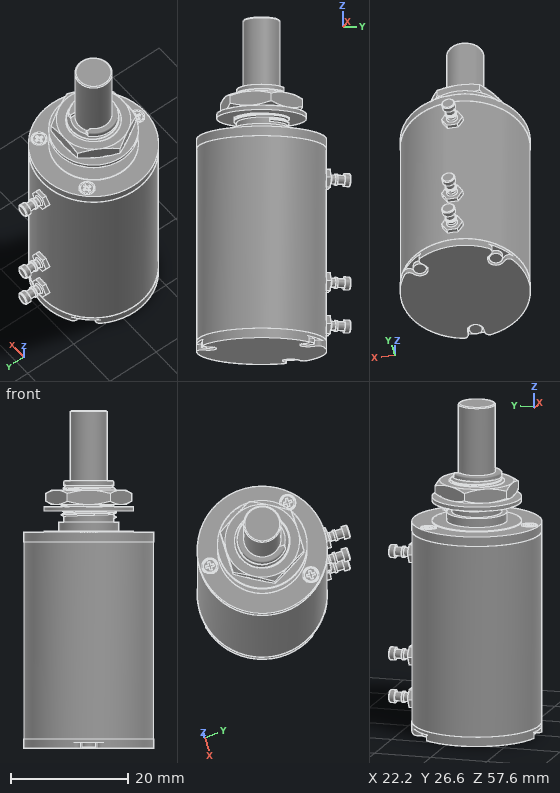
import cadquery as cq
import math

FLANGE_RADIUS = 22.23 / 2
CASE_RADIUS = 11.07
FLANGE_HEIGHT = 1.66
TOTAL_HEIGHT = 57.61
LID_TOP = 36.86
LID_BOTTOM = 35.2

SEAT_RADIUS = 7.65
SEAT_HEIGHT = 0.17
SHOULDER_RADIUS = 5.15
SHOULDER_TOP = 38.58
BUSHING_TOP = 44.85
THREAD_CREST_RADIUS = 4.72
THREAD_ROOT_RADIUS = 4.28
THREAD_PITCH = 25.4 / 32
THREAD_START = 39.45
THREAD_START_ANGLE = 5
THREAD_TURNS = 7
THREAD_CREST_WIDTH = 0.1
THREAD_FLANK_ANGLE = 30
THREAD_OVERLAP = 0.1
BUSHING_CHAMFER = 0.8

SHAFT_RADIUS = 6.35 / 2
SHAFT_CHAMFER = 0.2
CLIP_RADIUS = THREAD_ROOT_RADIUS
CLIP_THICKNESS = 0.8
CLIP_FILLET = 0.3
CLIP_GAP_WIDTH = 4.3
CLIP_END_Y = 3.3

HOLE_RADIUS = THREAD_CREST_RADIUS + 0.02
WASHER_RADIUS = 7.65
WASHER_BOTTOM = 40.48
WASHER_THICKNESS = 0.75
NUT_ACROSS_FLATS = 12.7
NUT_BOTTOM = 41.58
NUT_HEIGHT = 2.46
NUT_CHAMFER_ANGLE = 30

SCREW_CIRCLE_RADIUS = 9.35
SCREW_ANGLES = (45, 135, 270)
SCREW_HEAD_RADIUS = 1.12
SCREW_HEAD_HEIGHT = 0.75
SCREW_RECESS_RADIUS = 1.38
CROSS_LENGTH = 1.45
CROSS_WIDTH = 0.4
CROSS_DEPTH = 0.4
NOTCH_HEIGHT = 1.04
NOTCH_RADIUS = 1.4
NOTCH_MOUTH_FILLET = 0.88
NOTCH_OVERSHOOT = 1.0

TERMINAL_HEIGHTS = (5.0, 12.5, 30.5)
TERMINAL_NUT_ACROSS_FLATS = 3.15
TERMINAL_NUT_END = 11.8
TERMINAL_COLLAR_END = 12.12
TERMINAL_RIB_START = 12.8
TERMINAL_RIB_END = 13.18
TERMINAL_HEAD_START = 14.4
TERMINAL_TIP = 26.55 - FLANGE_RADIUS
TERMINAL_ROOT = CASE_RADIUS - 1
TERMINAL_NECK_RADIUS = 0.78
TERMINAL_RIB_RADIUS = 0.97
TERMINAL_HEAD_RADIUS = 1.13
TERMINAL_HEAD_CHAMFER = 0.15


def cylinder(radius, bottom, top, seam_direction=(0, -1, 0)):
    """Upright cylinder on the Z axis; its surface seam faces the given direction."""
    plane = cq.Plane(origin=(0, 0, bottom), xDir=seam_direction, normal=(0, 0, 1))
    return cq.Workplane(plane).circle(radius).extrude(top - bottom)


def hexagon_width_over_corners(across_flats):
    return across_flats / math.cos(math.radians(30))


def thread_ridge():
    """Right-hand helical ridge, with its root sunk slightly into the bushing core."""
    root_radius = THREAD_ROOT_RADIUS - THREAD_OVERLAP
    flank_rise = (THREAD_CREST_RADIUS - root_radius) * math.tan(math.radians(THREAD_FLANK_ANGLE))
    crest_half = THREAD_CREST_WIDTH / 2
    root_half = crest_half + flank_rise
    helix = cq.Wire.makeHelix(THREAD_PITCH, THREAD_PITCH * THREAD_TURNS, THREAD_ROOT_RADIUS)
    profile = cq.Workplane("XZ").polyline([
        (root_radius, -root_half),
        (THREAD_CREST_RADIUS, -crest_half),
        (THREAD_CREST_RADIUS, crest_half),
        (root_radius, root_half),
    ]).close()
    ridge = profile.sweep(cq.Workplane(obj=helix), isFrenet=True)
    ridge = ridge.rotate((0, 0, 0), (0, 0, 1), THREAD_START_ANGLE)
    return ridge.translate((0, 0, THREAD_START))


def threaded_bushing():
    """Threaded tube: the ridge is trimmed by the chamfered outline of the bushing end."""
    outline = cylinder(THREAD_CREST_RADIUS + THREAD_OVERLAP, LID_TOP, BUSHING_TOP)
    outline = outline.faces(">Z").chamfer(BUSHING_CHAMFER + THREAD_OVERLAP)
    core = cylinder(THREAD_ROOT_RADIUS, LID_TOP, BUSHING_TOP)
    return core.union(thread_ridge()).intersect(outline)


def terminal(height):
    """Turret terminal along +Y with a hexagonal base, its corners along X."""
    profile = (
        cq.Workplane("XY")
        .moveTo(0, TERMINAL_ROOT)
        .lineTo(TERMINAL_RIB_RADIUS, TERMINAL_ROOT)
        .lineTo(TERMINAL_RIB_RADIUS, TERMINAL_NUT_END)
        .lineTo(TERMINAL_NECK_RADIUS, TERMINAL_COLLAR_END)
        .lineTo(TERMINAL_NECK_RADIUS, TERMINAL_RIB_START)
        .lineTo(TERMINAL_RIB_RADIUS, TERMINAL_RIB_START)
        .lineTo(TERMINAL_RIB_RADIUS, TERMINAL_RIB_END)
        .lineTo(TERMINAL_NECK_RADIUS, TERMINAL_RIB_END)
        .lineTo(TERMINAL_NECK_RADIUS, TERMINAL_HEAD_START)
        .lineTo(TERMINAL_HEAD_RADIUS, TERMINAL_HEAD_START)
        .lineTo(TERMINAL_HEAD_RADIUS, TERMINAL_TIP - TERMINAL_HEAD_CHAMFER)
        .lineTo(TERMINAL_HEAD_RADIUS - TERMINAL_HEAD_CHAMFER, TERMINAL_TIP)
        .lineTo(0, TERMINAL_TIP)
        .close()
    )
    turret = profile.revolve(360, (0, 0), (0, 1))
    base = (
        cq.Workplane("XZ", origin=(0, TERMINAL_NUT_END, 0))
        .polygon(6, hexagon_width_over_corners(TERMINAL_NUT_ACROSS_FLATS))
        .extrude(TERMINAL_NUT_END - TERMINAL_ROOT)
    )
    return turret.union(base).translate((0, 0, height))


def screw_head(bottom):
    """Plain cylindrical head on the +X side, at the screw circle."""
    head = cylinder(SCREW_HEAD_RADIUS, bottom, bottom + SCREW_HEAD_HEIGHT)
    return head.translate((SCREW_CIRCLE_RADIUS, 0, 0))


def cross_recess():
    """Cross-shaped driver recess at the lid top, arms along X and Y."""
    bottom = cq.Workplane("XY").workplane(offset=LID_TOP - CROSS_DEPTH)
    arm_along_x = bottom.rect(CROSS_LENGTH, CROSS_WIDTH).extrude(CROSS_DEPTH)
    arm_along_y = bottom.rect(CROSS_WIDTH, CROSS_LENGTH).extrude(CROSS_DEPTH)
    return arm_along_x.union(arm_along_y)


def lid_screw_recess():
    """Ring-shaped gap around a screw head that is flush with the lid."""
    bottom = LID_TOP - SCREW_HEAD_HEIGHT
    recess = cylinder(SCREW_RECESS_RADIUS, bottom, LID_TOP).translate((SCREW_CIRCLE_RADIUS, 0, 0))
    return recess.cut(screw_head(bottom))


def notch():
    """U-shaped notch on the +X side of the base rim, rounded where it opens through the rim."""
    mouth_length = FLANGE_RADIUS - SCREW_CIRCLE_RADIUS + NOTCH_OVERSHOOT
    mouth = (
        cq.Workplane("XY")
        .center(SCREW_CIRCLE_RADIUS + mouth_length / 2, 0)
        .rect(mouth_length, 2 * NOTCH_RADIUS)
        .extrude(NOTCH_HEIGHT)
    )
    round_end = cylinder(NOTCH_RADIUS, 0, NOTCH_HEIGHT).translate((SCREW_CIRCLE_RADIUS, 0, 0))
    disc = cylinder(FLANGE_RADIUS, 0, NOTCH_HEIGHT)
    notched_disc = disc.cut(round_end.union(mouth))
    mouth_corners = notched_disc.edges("|Z").edges(">X")
    return disc.cut(mouth_corners.fillet(NOTCH_MOUTH_FILLET))


def base_plate():
    """Base flange whose notches hold the lower screw heads."""
    plate = cylinder(FLANGE_RADIUS, 0, FLANGE_HEIGHT)
    head = screw_head(NOTCH_HEIGHT - SCREW_HEAD_HEIGHT)
    for angle in SCREW_ANGLES:
        plate = plate.cut(notch().rotate((0, 0, 0), (0, 0, 1), angle))
        plate = plate.union(head.rotate((0, 0, 0), (0, 0, 1), angle))
    return plate


def lid():
    """Top flange with its raised seat, shoulder and three flush screws."""
    plate = cylinder(FLANGE_RADIUS, LID_BOTTOM, LID_TOP)
    for angle in SCREW_ANGLES:
        plate = plate.cut(lid_screw_recess().rotate((0, 0, 0), (0, 0, 1), angle))
        direction = math.radians(angle)
        screw_x = SCREW_CIRCLE_RADIUS * math.cos(direction)
        screw_y = SCREW_CIRCLE_RADIUS * math.sin(direction)
        plate = plate.cut(cross_recess().translate((screw_x, screw_y, 0)))
    seat = cylinder(SEAT_RADIUS, LID_TOP, LID_TOP + SEAT_HEIGHT)
    shoulder = cylinder(SHOULDER_RADIUS, LID_TOP, SHOULDER_TOP)
    return plate.union(seat).union(shoulder)


def make_housing():
    body = cylinder(CASE_RADIUS, FLANGE_HEIGHT, LID_BOTTOM, seam_direction=(-1, 0, 0))
    for height in TERMINAL_HEIGHTS:
        body = body.union(terminal(height))
    body = body.union(base_plate()).union(lid()).union(threaded_bushing())
    return body.cut(cylinder(SHAFT_RADIUS, LID_BOTTOM, BUSHING_TOP))


def make_shaft():
    return cylinder(SHAFT_RADIUS, LID_BOTTOM, TOTAL_HEIGHT).faces(">Z").chamfer(SHAFT_CHAMFER)


def make_clip():
    clip_top = BUSHING_TOP + CLIP_THICKNESS
    ring = cylinder(CLIP_RADIUS, BUSHING_TOP, clip_top).faces(">Z").fillet(CLIP_FILLET)
    ring = ring.cut(cylinder(SHAFT_RADIUS, BUSHING_TOP, clip_top))
    bottom = cq.Workplane("XY", origin=(0, 0, BUSHING_TOP))
    gap = bottom.center(0, CLIP_RADIUS / 2).rect(CLIP_GAP_WIDTH, CLIP_RADIUS).extrude(CLIP_THICKNESS)
    beyond_ends = (
        bottom.center(0, CLIP_END_Y + CLIP_RADIUS / 2)
        .rect(2 * CLIP_RADIUS, CLIP_RADIUS)
        .extrude(CLIP_THICKNESS)
    )
    return ring.cut(gap).cut(beyond_ends)


def make_washer():
    washer_top = WASHER_BOTTOM + WASHER_THICKNESS
    disc = cylinder(WASHER_RADIUS, WASHER_BOTTOM, washer_top)
    return disc.cut(cylinder(HOLE_RADIUS, WASHER_BOTTOM, washer_top))


def make_nut():
    corner_width = hexagon_width_over_corners(NUT_ACROSS_FLATS)
    corner_radius = corner_width / 2
    flat_radius = NUT_ACROSS_FLATS / 2
    chamfer_drop = (corner_radius - flat_radius) * math.tan(math.radians(NUT_CHAMFER_ANGLE))
    prism = cq.Workplane("XY").polygon(6, corner_width).extrude(NUT_HEIGHT)
    envelope = (
        cq.Workplane("XZ")
        .polyline([
            (0, 0),
            (flat_radius, 0),
            (corner_radius, chamfer_drop),
            (corner_radius, NUT_HEIGHT - chamfer_drop),
            (flat_radius, NUT_HEIGHT),
            (0, NUT_HEIGHT),
        ])
        .close()
        .revolve(360, (0, 0), (0, 1))
    )
    nut = prism.intersect(envelope).cut(cylinder(HOLE_RADIUS, 0, NUT_HEIGHT))
    return nut.translate((0, 0, NUT_BOTTOM))


housing = make_housing()
shaft = make_shaft()
clip = make_clip()
washer = make_washer()
nut = make_nut()

result = cq.Compound.makeCompound([housing.val(), shaft.val(), clip.val(), washer.val(), nut.val()])